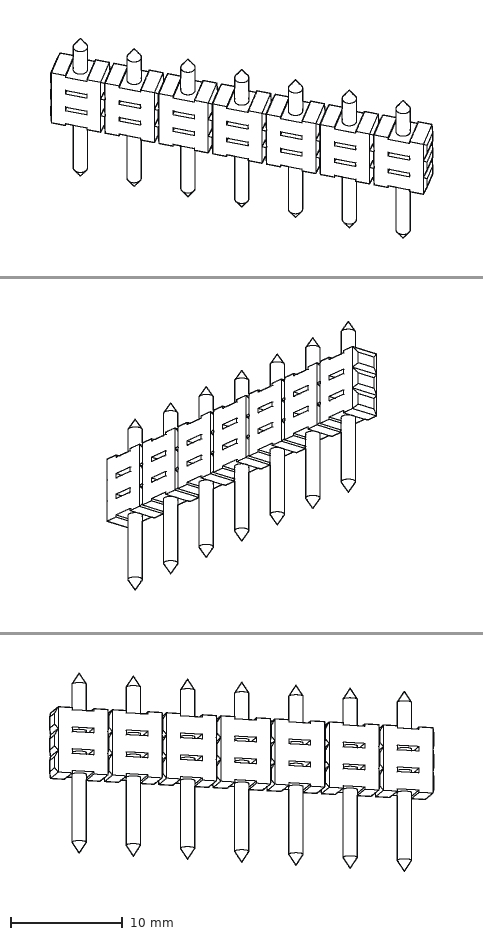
import cadquery as cq

row_length = 35.0
pin_count = 7
pitch = row_length / pin_count

body_depth = 2.8
tier_height = 2.0
tier_count = 3
body_height = tier_count * tier_height

pad_length = 0.2
pad_inset = 0.5
core_length = pitch - 2 * pad_length

groove_width = 2.0
groove_depth = 0.2

pin_diameter = 1.3
pin_above_body = 3.5
pin_below_body = 7.0
point_length = 1.0


def make_pad():
    """Pyramid-shaped pad growing along +X from the end of a tier."""
    return (
        cq.Workplane("YZ", origin=(core_length / 2, 0, 0))
        .rect(body_depth, tier_height)
        .workplane(offset=pad_length)
        .rect(body_depth - 2 * pad_inset, tier_height - 2 * pad_inset)
        .loft(combine=True)
    )


def make_block():
    """One block: padded tiers, with grooves that pair up into slots between tiers."""
    block = cq.Workplane("XY").box(core_length, body_depth, body_height)
    right_pad = make_pad()
    left_pad = right_pad.mirror("YZ")

    for tier in range(tier_count):
        tier_center = (tier - (tier_count - 1) / 2) * tier_height
        block = block.union(right_pad.translate((0, 0, tier_center)))
        block = block.union(left_pad.translate((0, 0, tier_center)))

    groove = cq.Workplane("XY").box(groove_width, body_depth, 2 * groove_depth)
    for boundary in range(tier_count + 1):
        boundary_height = boundary * tier_height - body_height / 2
        block = block.cut(groove.translate((0, 0, boundary_height)))
    return block


def make_pin():
    """Pointed pin revolved about the vertical axis of its block."""
    radius = pin_diameter / 2
    top = body_height / 2 + pin_above_body
    bottom = -body_height / 2 - pin_below_body
    return (
        cq.Workplane("XZ")
        .moveTo(0, bottom)
        .lineTo(radius, bottom + point_length)
        .lineTo(radius, top - point_length)
        .lineTo(0, top)
        .close()
        .revolve(360, (0, 0, 0), (0, 1, 0))
    )


position = make_block().union(make_pin())

result = position.translate((-(pin_count - 1) / 2 * pitch, 0, 0))
for index in range(1, pin_count):
    offset = (index - (pin_count - 1) / 2) * pitch
    result = result.union(position.translate((offset, 0, 0)))